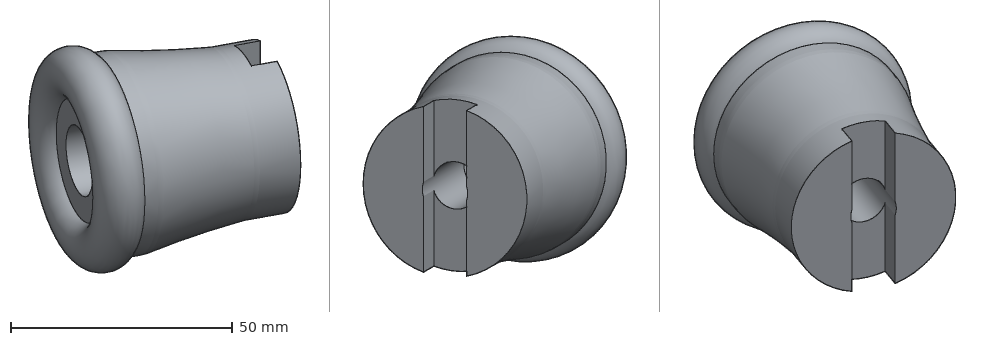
import cadquery as cq
import math

length = 50.0

rim_radius = 26.0
rim_round = 6.0
rim_centre_radius = rim_radius - rim_round
dish_radius = 14.35

base_radius = 23.5
base_end = 14.2
taper_start = 15.55
taper_start_radius = 23.4
taper_end = 38.75
taper_end_radius = 20.05
taper_sag = 0.3
collar_radius = 19.95
collar_start = 40.1

bore_radius = 5.5
counterbore_radius = 8.25
counterbore_floor = 25.0

slot_width = 10.5
slot_depth = 6.3


def rim_offset(radius):
    """Distance along Y from the rim's centre plane to its surface at a radius."""
    return math.sqrt(rim_round**2 - (radius - rim_centre_radius) ** 2)


def make_body():
    """Revolve the outer profile, with radius along X, about the Y axis."""
    dish_depth = rim_round - rim_offset(dish_radius)
    rim_end = rim_round + rim_offset(base_radius)
    taper_middle = (
        (taper_start_radius + taper_end_radius) / 2 - taper_sag,
        (taper_start + taper_end) / 2,
    )
    profile = (
        cq.Workplane("XY")
        .moveTo(0, dish_depth)
        .lineTo(dish_radius, dish_depth)
        .threePointArc((rim_radius, rim_round), (base_radius, rim_end))
        .lineTo(base_radius, base_end)
        .lineTo(taper_start_radius, taper_start)
        .threePointArc(taper_middle, (taper_end_radius, taper_end))
        .lineTo(collar_radius, collar_start)
        .lineTo(collar_radius, length)
        .lineTo(0, length)
        .close()
    )
    return profile.revolve(360, (0, 0, 0), (0, 1, 0))


def make_bore():
    """Through bore with a deep counterbore from the front."""
    front = cq.Workplane("XZ")
    bore = front.circle(bore_radius).extrude(-length)
    counterbore = front.circle(counterbore_radius).extrude(-counterbore_floor)
    return bore.union(counterbore)


def make_slot():
    """Slot open at the back and at both ends along Z."""
    return cq.Workplane("XY").box(slot_width, slot_depth, 2 * rim_radius).translate(
        (0, length - slot_depth / 2, 0)
    )


result = make_body().cut(make_bore()).cut(make_slot())